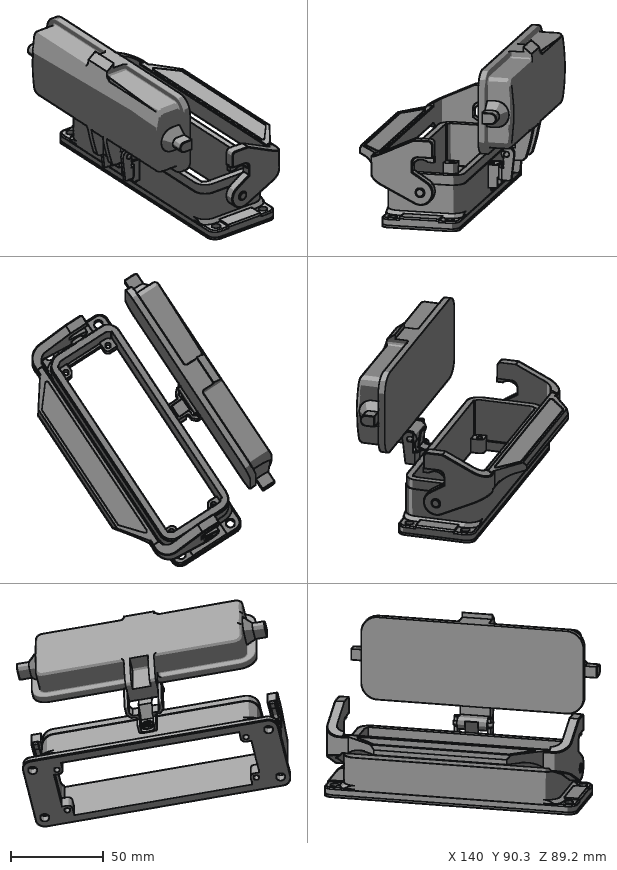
import cadquery as cq
import math


flange_length = 140.0
flange_width = 43.2
flange_corner_radius = 5.0
flange_height = 5.3
flange_foot_height = 1.3
flange_step = 0.1
flange_edge_chamfer = 0.8
plateau_height = 6.2
plateau_width = 21.8
plateau_chamfer = 0.9

body_length = 120.0
body_width = flange_width - 4 * flange_step
body_corner_radius = 7.5
shoulder_height = 23.1
rim_inset = 0.4
rim_height = 28.45
skirt_reach = 2.1
skirt_height = plateau_height + 1.2

opening_length = 111.4
opening_width = 34.8
opening_corner_radius = 3.6
lower_opening_length = 108.6
ledge_height = flange_height

contact_hole_diameter = 3.0
contact_hole_x = 52.0
contact_hole_y = 13.5
lug_reach = 3.0
lug_corner_radius = 2.5
lug_height = 8.0

mount_hole_diameter = 4.8
mount_hole_x = 64.9
mount_hole_y = 15.8

pivot_z = 19.9
pivot_boss_diameter = 7.0
pivot_pin_diameter = 5.1
pivot_pin_tip_diameter = 4.0
pivot_pin_end = 68.2
pivot_pin_chamfer = (pivot_pin_diameter - pivot_pin_tip_diameter) / 2

wall_front = -body_width / 2
bracket_half_width = 5.0
bracket_sheet = 1.3
bracket_top = 22.0
bracket_bottom = 9.2
arm_front = -26.7
wing_bottom = 15.2
wing_back = -28.1
ear_bend_reach = 2.3
ear_back = -31.4
ear_inner = 8.4
ear_thickness = 1.8
ear_bottom_front = -35.6
ear_corner_radius = 1.0
hinge_y = -33.2
hinge_z = 29.7
hinge_pin_diameter = 3.0
ear_radius = 4.1

leaf_half_width = 3.6
leaf_thickness = 0.7
leaf_bottom = 7.0
leaf_corner = 1.0
leaf_bend_z = 18.7
leaf_knee_y = -30.6
leaf_knee_z = 23.2
leaf_tip_y = -29.4
leaf_tip_z = 32.0
screw_head_diameter = 7.0
screw_head_height = 1.0
screw_head_chamfer = 0.7
screw_z = 12.6
screw_slot_width = 0.9
screw_slot_length = 5.0
screw_slot_depth = 0.5

lever_inner = 62.4
lever_outer = 67.75
lever_bar_back = 29.0
lever_bend_radius = 8.6
lever_bar_front = 25.0
lever_bend_y = 19.8
lever_pivot_radius = 7.0
lower_edge_angle = 26.0
upper_edge_angle = 25.0
foot_edge_angle = 32.4
finger_front = -6.9
finger_top = 48.75
finger_bottom = 39.2
finger_flat_end = 3.7
finger_corner_radius = 2.2
notch_back = 4.5
notch_radius = 3.4
lever_edge_chamfer = 0.4

catch_thickness = 2.7
catch_front = -7.45
catch_bottom = 36.65
catch_depth = 1.1
catch_lip_end = -4.2
catch_crown_y = 0.6
catch_end = 34.6

handle_top = 37.2
handle_tip_y = 41.5
handle_tip_half_length = 36.8
handle_root_half_length = 54.0
handle_nose_top = 34.9
handle_nose_bottom = 32.2
handle_nose_run = 1.5
handle_flat_end = 36.5
handle_root_bottom = 27.8
handle_underside_radius = 9.5
grip_depth = 0.3
grip_back = 27.2
grip_front = 38.5
grip_root_half_length = 51.0
grip_tip_half_length = 37.6
grip_corner_radius = 1.0

cover_z = 63.25
cover_length = 123.2
cover_height = 46.5
cover_corner_radius = 9.1
cover_back = -30.75
cover_step = -34.6
cover_edge_fillet = 0.5
cover_front = -48.77
cover_front_radius = 115.0
shell_length = 113.8
shell_height = 39.3
shell_corner_radius = 4.2
shell_edge_fillet = 2.2
shell_root_fillet = 0.7

rib_half_width = 8.3
rib_side_fillet = 1.5
hook_back = -42.0
hook_top = 89.23
hook_front_z = 85.6
tongue_back = -37.4
tongue_bottom = 26.3
tongue_bottom_fillet = 2.5
recess_half_width = 5.0
recess_floor = -39.0
recess_top = 44.0
recess_fillet = 1.8

knuckle_radius = hinge_z - tongue_bottom
hinge_pin_end = 11.0
stud_end = 68.2
stud_half_height = 3.1
stud_axis_y = -39.4
stud_chamfer = 0.3
stud_cone_tip = 61.5
stud_cone_root = 56.8
stud_cone_half_height = 7.4


def rounded_block(length, width, height, radius):
    return cq.Workplane("XY").rect(length, width).extrude(height).edges("|Z").fillet(radius)


def side_prism(outline, half_width):
    """Extrude a closed YZ outline symmetrically about X = 0."""
    return outline.extrude(half_width, both=True)


def both_sides(solid):
    """Join a solid with its mirror image across X = 0."""
    return solid.union(solid.mirror("YZ"))


def make_flange():
    foot = rounded_block(flange_length, flange_width, flange_foot_height, flange_corner_radius)
    upper_length = flange_length - 2 * flange_step
    upper_width = flange_width - 2 * flange_step
    flange = rounded_block(upper_length, upper_width, flange_height, flange_corner_radius - flange_step)
    flange = flange.faces(">Z").edges().chamfer(flange_edge_chamfer)
    plateau = (
        cq.Workplane("XY")
        .rect(upper_length, plateau_width)
        .extrude(plateau_height)
        .edges("|Y")
        .edges(">Z")
        .chamfer(plateau_chamfer)
    )
    return foot.union(flange).union(plateau)


def make_body():
    body = rounded_block(body_length, body_width, shoulder_height, body_corner_radius)
    rim = rounded_block(
        body_length - 2 * rim_inset, body_width - 2 * rim_inset, rim_height, body_corner_radius - rim_inset
    )
    return body.union(rim)


def make_skirt():
    """Sloping foot around the body, cut flush with the long sides of the body."""
    rise = skirt_height - flange_height
    slope = math.degrees(math.atan2(skirt_reach, rise))
    foot = (
        cq.Sketch()
        .rect(body_length + 2 * skirt_reach, body_width + 2 * skirt_reach)
        .vertices()
        .fillet(body_corner_radius + skirt_reach)
    )
    skirt = cq.Workplane("XY", origin=(0, 0, flange_height)).placeSketch(foot).extrude(rise, taper=slope)
    footprint = cq.Workplane("XY").rect(flange_length, body_width).extrude(rim_height)
    return skirt.intersect(footprint)


def cut_opening(housing):
    upper = rounded_block(opening_length, opening_width, rim_height, opening_corner_radius)
    upper = upper.translate((0, 0, ledge_height))
    lower = cq.Workplane("XY").rect(lower_opening_length, opening_width).extrude(rim_height)
    return housing.cut(upper).cut(lower)


def add_lugs(housing):
    """Corner lugs inside the opening that carry the contact insert screws."""
    size_x = opening_length / 2 - contact_hole_x + lug_reach
    size_y = opening_width / 2 - contact_hole_y + lug_reach
    for side_x in (-1, 1):
        for side_y in (-1, 1):
            lug = (
                cq.Workplane("XY")
                .rect(size_x, size_y)
                .extrude(lug_height)
                .edges("|Z")
                .edges("<X")
                .edges("<Y")
                .fillet(lug_corner_radius)
                .translate(((opening_length - size_x) / 2, (opening_width - size_y) / 2, 0))
            )
            if side_x < 0:
                lug = lug.mirror("YZ")
            if side_y < 0:
                lug = lug.mirror("XZ")
            housing = housing.union(lug)
    return housing


def drill(housing, spacing_x, spacing_y, diameter):
    """Four upright through holes, placed symmetrically."""
    holes = (
        cq.Workplane("XY")
        .rect(2 * spacing_x, 2 * spacing_y, forConstruction=True)
        .vertices()
        .circle(diameter / 2)
        .extrude(rim_height)
    )
    return housing.cut(holes)


def make_pivot():
    """Boss and lever pin on the +X end of the body."""
    boss_base = body_length / 2 - 2 * rim_inset
    start = cq.Workplane("YZ", origin=(boss_base, 0, pivot_z))
    boss = start.circle(pivot_boss_diameter / 2).extrude(lever_inner - boss_base)
    pin = start.circle(pivot_pin_diameter / 2).extrude(pivot_pin_end - boss_base)
    return boss.union(pin.faces(">X").chamfer(pivot_pin_chamfer))


def make_bracket_sheet():
    """U-shaped sheet on the front wall: base plate, two arms and the wings that carry the ears."""
    arms_plan = (
        cq.Workplane("XY", origin=(0, 0, bracket_bottom))
        .rect(2 * bracket_half_width, 2 * (wall_front - arm_front))
        .extrude(bracket_top - bracket_bottom)
        .edges("|X")
        .edges("<Z")
        .fillet(ear_corner_radius)
        .translate((0, wall_front, 0))
    )
    behind_wall = cq.Workplane("XY").rect(body_length, body_width).extrude(rim_height)
    channel = (
        cq.Workplane("XY")
        .rect(2 * (bracket_half_width - bracket_sheet), 2 * (wall_front - bracket_sheet - ear_bottom_front))
        .extrude(rim_height)
        .translate((0, ear_bottom_front, 0))
    )
    sheet = arms_plan.cut(behind_wall)
    sheet = sheet.edges("|Z").edges(">Y").fillet(bracket_sheet)
    ear_outer = ear_inner + ear_thickness
    wing_root = wing_back + 2 * bracket_sheet
    arm_inner = bracket_half_width - bracket_sheet
    wing = (
        cq.Workplane("XY", origin=(0, 0, wing_bottom))
        .moveTo(arm_inner, wing_root)
        .lineTo(bracket_half_width, wing_root)
        .lineTo(bracket_half_width, wing_back + bracket_sheet)
        .radiusArc((bracket_half_width + bracket_sheet, wing_back), -bracket_sheet)
        .lineTo(ear_outer - ear_bend_reach, wing_back)
        .lineTo(ear_outer, wing_back - ear_bend_reach)
        .lineTo(ear_outer, ear_back)
        .lineTo(ear_inner, ear_back)
        .lineTo(ear_inner - bracket_sheet, wing_back - bracket_sheet)
        .lineTo(arm_inner, wing_back - bracket_sheet)
        .close()
        .extrude(bracket_top - wing_bottom)
    )
    return sheet.union(both_sides(wing)).cut(channel)


def make_ear():
    """Ear at +X, with an open slot into which the hinge stub of the cover snaps."""
    arc_start_z = hinge_z + math.sqrt(ear_radius**2 - (hinge_y - ear_back) ** 2)
    diagonal = ear_radius * math.sqrt(0.5)
    ear = (
        cq.Workplane("YZ", origin=(ear_inner, 0, 0))
        .moveTo(ear_back, wing_bottom)
        .lineTo(ear_back, arc_start_z)
        .threePointArc((hinge_y - diagonal, hinge_z + diagonal), (hinge_y - ear_radius, hinge_z))
        .lineTo(ear_bottom_front, wing_bottom)
        .close()
        .extrude(ear_thickness)
        .edges("|X")
        .edges("<Z")
        .edges("<Y")
        .fillet(ear_corner_radius)
    )
    slot = (
        cq.Workplane("YZ", origin=(ear_inner, 0, hinge_z))
        .center(hinge_y + ear_radius, 0)
        .slot2D(2 * ear_radius + hinge_pin_diameter, hinge_pin_diameter)
        .extrude(ear_thickness)
    )
    return ear.cut(slot)


def make_leaf_spring():
    """Bent leaf that is screwed to the base plate and presses on the hinge knuckle."""
    back = wall_front - bracket_sheet
    slope_drop = leaf_thickness * 1.4
    outline = (
        cq.Workplane("YZ")
        .moveTo(back, leaf_bottom)
        .lineTo(back, leaf_bend_z + slope_drop)
        .lineTo(leaf_knee_y + leaf_thickness, leaf_knee_z)
        .lineTo(leaf_tip_y + leaf_thickness, leaf_tip_z)
        .lineTo(leaf_tip_y, leaf_tip_z)
        .lineTo(leaf_knee_y, leaf_knee_z - slope_drop / 2)
        .lineTo(back - leaf_thickness, leaf_bend_z)
        .lineTo(back - leaf_thickness, leaf_bottom)
        .close()
    )
    return side_prism(outline, leaf_half_width).edges("|Y").edges("<Z").chamfer(leaf_corner)


def make_screw():
    """Cross-slotted screw head on the leaf spring."""
    seat_y = wall_front - bracket_sheet - leaf_thickness
    head = (
        cq.Workplane("XZ", origin=(0, seat_y, screw_z))
        .circle(screw_head_diameter / 2)
        .extrude(screw_head_height)
        .faces("<Y")
        .chamfer(screw_head_chamfer)
    )
    cross = cq.Workplane("XZ", origin=(0, seat_y - screw_head_height + screw_slot_depth, screw_z))
    for angle in (45, 135):
        slot = cross.transformed(rotate=(0, 0, angle)).rect(screw_slot_length, screw_slot_width)
        head = head.cut(slot.extrude(screw_slot_depth))
    return head


def make_housing():
    housing = make_flange().union(make_skirt()).union(make_body())
    housing = add_lugs(cut_opening(housing))
    housing = drill(housing, contact_hole_x, contact_hole_y, contact_hole_diameter)
    housing = drill(housing, mount_hole_x, mount_hole_y, mount_hole_diameter)
    housing = housing.union(both_sides(make_pivot()))
    housing = housing.union(make_bracket_sheet()).union(both_sides(make_ear()))
    return housing.union(make_leaf_spring()).union(make_screw())


def make_lever_plan():
    """U-shaped plan of the lever: a cross bar with a rounded bend into each side plate."""
    outer_radius = lever_bend_radius
    bend_start_y = lever_bar_back - outer_radius
    inner_radius = lever_bar_front - lever_bend_y
    end_y = -2 * lever_pivot_radius
    return (
        cq.Workplane("XY")
        .moveTo(lever_outer, end_y)
        .lineTo(lever_outer, bend_start_y)
        .radiusArc((lever_outer - outer_radius, lever_bar_back), -outer_radius)
        .lineTo(-lever_outer + outer_radius, lever_bar_back)
        .radiusArc((-lever_outer, bend_start_y), -outer_radius)
        .lineTo(-lever_outer, end_y)
        .lineTo(-lever_inner, end_y)
        .lineTo(-lever_inner, lever_bend_y)
        .radiusArc((-lever_inner + inner_radius, lever_bar_front), inner_radius)
        .lineTo(lever_inner - inner_radius, lever_bar_front)
        .radiusArc((lever_inner, lever_bend_y), inner_radius)
        .lineTo(lever_inner, end_y)
        .close()
        .extrude(finger_top)
    )


def make_lever_side():
    """Side profile of the lever: hooked finger, notch for the cover stud and rounded pivot end."""
    lower = math.radians(lower_edge_angle)
    upper = math.radians(upper_edge_angle)
    foot = math.radians(foot_edge_angle)
    lower_y = lever_pivot_radius * math.sin(lower)
    lower_z = pivot_z - lever_pivot_radius * math.cos(lower)
    foot_y = -lever_pivot_radius * math.sin(foot)
    foot_z = pivot_z + lever_pivot_radius * math.cos(foot)
    outline = (
        cq.Workplane("YZ")
        .moveTo(lower_y, lower_z)
        .lineTo(lever_bar_back, lower_z + (lever_bar_back - lower_y) * math.tan(lower))
        .lineTo(lever_bar_back, finger_top - (lever_bar_back - finger_flat_end) * math.tan(upper))
        .lineTo(finger_flat_end, finger_top)
        .lineTo(finger_front + finger_corner_radius, finger_top)
        .radiusArc((finger_front, finger_top - finger_corner_radius), -finger_corner_radius)
        .lineTo(finger_front, finger_bottom)
        .lineTo(notch_back - notch_radius, finger_bottom)
        .radiusArc((notch_back, finger_bottom - notch_radius), notch_radius)
        .lineTo(notch_back, foot_z + (notch_back - foot_y) * math.tan(foot))
        .lineTo(foot_y, foot_z)
        .threePointArc((-lever_pivot_radius, pivot_z), (lower_y, lower_z))
        .close()
    )
    return side_prism(outline, lever_outer)


def make_catch():
    """Narrow lining of the notch top at +X, with a lip that holds the cover stud."""
    return (
        cq.Workplane("YZ", origin=((lever_inner + lever_outer - catch_thickness) / 2, 0, 0))
        .moveTo(catch_front, finger_bottom)
        .lineTo(catch_front, catch_bottom)
        .lineTo(catch_lip_end, catch_bottom)
        .threePointArc((catch_crown_y, catch_bottom + catch_depth), (notch_back, catch_end))
        .lineTo(notch_back, finger_bottom)
        .close()
        .extrude(catch_thickness)
    )


def make_handle():
    """Trapezoid grip plate behind the cross bar."""
    root_y = (lever_bar_front + lever_bar_back) / 2
    profile = (
        cq.Workplane("YZ")
        .moveTo(root_y, handle_top)
        .lineTo(handle_tip_y - handle_nose_run, handle_top)
        .lineTo(handle_tip_y, handle_nose_top)
        .lineTo(handle_tip_y, handle_nose_bottom)
        .lineTo(handle_flat_end, handle_nose_bottom)
        .radiusArc((lever_bar_back, handle_root_bottom), -handle_underside_radius)
        .lineTo(root_y, handle_root_bottom)
        .close()
    )
    plan = (
        cq.Workplane("XY")
        .moveTo(-handle_root_half_length, root_y)
        .lineTo(-handle_root_half_length, lever_bar_back)
        .lineTo(-handle_tip_half_length, handle_tip_y)
        .lineTo(handle_tip_half_length, handle_tip_y)
        .lineTo(handle_root_half_length, lever_bar_back)
        .lineTo(handle_root_half_length, root_y)
        .close()
        .extrude(finger_top)
    )
    return side_prism(profile, handle_root_half_length).intersect(plan)


def make_grip_panel():
    """Cutter for the shallow panel on top of the handle."""
    return (
        cq.Workplane("XY", origin=(0, 0, handle_top - grip_depth))
        .moveTo(-grip_root_half_length, grip_back)
        .lineTo(grip_root_half_length, grip_back)
        .lineTo(grip_tip_half_length, grip_front)
        .lineTo(-grip_tip_half_length, grip_front)
        .close()
        .extrude(finger_top)
        .edges("|Z")
        .edges("<Y")
        .fillet(grip_corner_radius)
    )


def make_lever():
    lever = make_lever_plan().intersect(make_lever_side())
    bar_end = lever_inner - (lever_bar_front - lever_bend_y)
    bar_trim = (
        cq.Workplane("XY", origin=(0, 0, handle_top))
        .rect(2 * bar_end, 2 * lever_bar_back)
        .extrude(finger_top)
    )
    pivot_holes = side_prism(
        cq.Workplane("YZ", origin=(0, 0, pivot_z)).circle(pivot_pin_diameter / 2), stud_end
    )
    underside_trim = (
        cq.Workplane("XZ", origin=(0, lever_bar_back, 0))
        .moveTo(-bar_end - handle_root_bottom, 0)
        .lineTo(-bar_end, handle_root_bottom)
        .lineTo(bar_end, handle_root_bottom)
        .lineTo(bar_end + handle_root_bottom, 0)
        .close()
        .extrude(lever_bar_back - lever_bend_y)
    )
    lever = lever.faces("<X or >X").edges().chamfer(lever_edge_chamfer)
    lever = lever.cut(bar_trim).cut(underside_trim).cut(pivot_holes)
    top_front_edge = cq.selectors.NearestToPointSelector((0, lever_bar_front, handle_top))
    lever = lever.edges(top_front_edge).chamfer(lever_edge_chamfer)
    lever = lever.union(both_sides(make_catch())).union(make_handle())
    return lever.cut(make_grip_panel())


def front_y(z):
    """Y of the curved cover front at height z."""
    return cover_front + cover_front_radius - math.sqrt(cover_front_radius**2 - (z - cover_z) ** 2)


def make_cover_plate():
    plate = (
        cq.Workplane("XZ", origin=(0, cover_back, cover_z))
        .rect(cover_length, cover_height)
        .extrude(cover_back - cover_step)
        .edges("|Y")
        .fillet(cover_corner_radius)
    )
    return plate.faces("<Y").edges().fillet(cover_edge_fillet)


def make_shell():
    """Rounded box in front of the cover plate, closed by the curved front."""
    box = (
        cq.Workplane("XZ", origin=(0, cover_step, cover_z))
        .rect(shell_length, shell_height)
        .extrude(cover_step - cover_front)
        .edges("|Y")
        .fillet(shell_corner_radius)
    )
    front_axis = cq.Workplane("YZ", origin=(0, cover_front + cover_front_radius, cover_z))
    curve = side_prism(front_axis.circle(cover_front_radius), shell_length)
    return box.intersect(curve).faces("<Y").edges().fillet(shell_edge_fillet)


def make_rib():
    """Middle rib over the cover, from the locking hook at the top to the hinge tongue at the bottom."""
    plate_top = cover_z + cover_height / 2
    plate_bottom = cover_z - cover_height / 2
    outline = (
        cq.Workplane("YZ")
        .moveTo(cover_back, plate_top)
        .lineTo(hook_back, plate_top)
        .lineTo(hook_back, hook_top)
        .lineTo(front_y(hook_front_z), hook_front_z)
        .threePointArc((cover_front, cover_z), (front_y(tongue_bottom), tongue_bottom))
        .lineTo(tongue_back, tongue_bottom)
        .lineTo(tongue_back, plate_bottom)
        .lineTo(cover_back, plate_bottom)
        .close()
    )
    rib = side_prism(outline, rib_half_width)
    return rib.edges("|X").edges("<Z").edges("<Y").fillet(tongue_bottom_fillet)


def fillet_rib_sides(cover):
    """Round the inner corners between the rib and the top and bottom of the shell."""
    middle_y = (cover_step + cover_front) / 2
    for side_x in (-1, 1):
        for side_z in (-1, 1):
            corner = (side_x * rib_half_width, middle_y, cover_z + side_z * shell_height / 2)
            cover = cover.edges(cq.selectors.NearestToPointSelector(corner)).fillet(rib_side_fillet)
    return cover


def make_tongue_recess():
    """Cutter for the recess in the front of the tongue."""
    middle_z = (tongue_bottom + recess_top) / 2
    return (
        cq.Workplane("XZ", origin=(0, recess_floor, middle_z))
        .rect(2 * recess_half_width, recess_top - tongue_bottom)
        .extrude(recess_floor - cover_front)
        .edges("|X")
        .edges(">Z")
        .edges(">Y")
        .fillet(recess_fillet)
    )


def make_knuckle():
    """Hinge barrel behind the tongue, with a stub at each end."""
    axis = cq.Workplane("YZ", origin=(0, hinge_y, hinge_z))
    barrel = side_prism(axis.circle(knuckle_radius), rib_half_width)
    neck_length = hinge_y - tongue_back
    neck_outline = axis.center(-neck_length / 2, 0).rect(neck_length, 2 * knuckle_radius)
    neck = side_prism(neck_outline, rib_half_width)
    stubs = side_prism(axis.circle(hinge_pin_diameter / 2), hinge_pin_end)
    stubs = stubs.faces("<X or >X").edges().fillet(hinge_pin_end - ear_inner - ear_thickness)
    return barrel.union(neck).union(stubs)


def stud_section(work, half_height):
    """Tongue-shaped section: flat on the cover plate, half round at the front."""
    return (
        work.moveTo(cover_step, half_height)
        .lineTo(stud_axis_y, half_height)
        .threePointArc((stud_axis_y - half_height, 0), (stud_axis_y, -half_height))
        .lineTo(cover_step, -half_height)
        .close()
    )


def make_stud():
    """Locking stud on the +X end, with the flared root that joins it to the shell."""
    root_x = shell_length / 2 - shell_edge_fillet
    stud = stud_section(cq.Workplane("YZ", origin=(root_x, 0, cover_z)), stud_half_height)
    stud = stud.extrude(stud_end - root_x).faces(">X").chamfer(stud_chamfer)
    cone = stud_section(cq.Workplane("YZ", origin=(stud_cone_root, 0, cover_z)), stud_cone_half_height)
    cone = stud_section(cone.workplane(offset=stud_cone_tip - stud_cone_root), stud_half_height)
    return stud.union(cone.loft(ruled=True))


def make_cover():
    cover = make_cover_plate().union(make_shell())
    reach = shell_root_fillet
    root = cq.selectors.BoxSelector(
        (-shell_length / 2 - reach, cover_step - reach, cover_z - shell_height / 2 - reach),
        (shell_length / 2 + reach, cover_step + reach, cover_z + shell_height / 2 + reach),
        boundingbox=True,
    )
    cover = cover.edges(root).fillet(shell_root_fillet)
    cover = fillet_rib_sides(cover.union(make_rib()))
    cover = cover.cut(make_tongue_recess()).union(make_knuckle())
    return cover.union(both_sides(make_stud()))


housing = make_housing()
lever = make_lever()
cover = make_cover()

result = cq.Compound.makeCompound([housing.solids().val(), lever.solids().val(), cover.solids().val()])